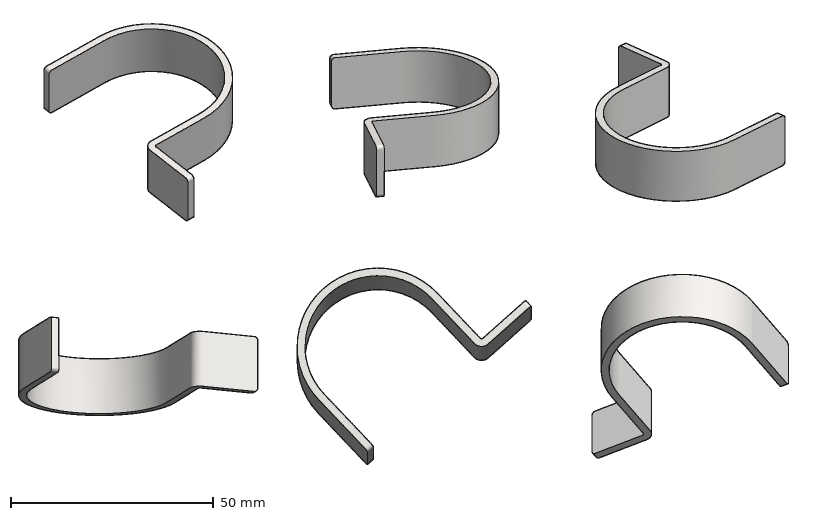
import cadquery as cq

total_length = 55.0
total_depth = 38.0
strap_width = 14.0
thickness = 2.0
arch_outer_radius = 20.0
bend_inner_radius = 0.5
corner_radius = 1.0

arch_inner_radius = arch_outer_radius - thickness
bend_outer_radius = bend_inner_radius + thickness
base_y = arch_outer_radius - total_depth
flange_back_y = base_y + thickness
flange_tip_x = total_length - arch_outer_radius
bend_x = arch_outer_radius + bend_inner_radius
bend_y = flange_back_y + bend_inner_radius


def make_strap():
    """Extrude the arch, its two legs and the bent flange."""
    return (
        cq.Workplane("XY")
        .moveTo(-arch_outer_radius, base_y)
        .lineTo(-arch_outer_radius, 0)
        .threePointArc((0, arch_outer_radius), (arch_outer_radius, 0))
        .lineTo(arch_outer_radius, bend_y)
        .radiusArc((bend_x, flange_back_y), -bend_inner_radius)
        .lineTo(flange_tip_x, flange_back_y)
        .lineTo(flange_tip_x, base_y)
        .lineTo(bend_x, base_y)
        .radiusArc((arch_inner_radius, bend_y), bend_outer_radius)
        .lineTo(arch_inner_radius, 0)
        .threePointArc((0, arch_inner_radius), (-arch_inner_radius, 0))
        .lineTo(-arch_inner_radius, base_y)
        .close()
        .extrude(strap_width)
    )


def round_strap_ends(strap):
    """Round the corners of the flange tip and of the free leg."""
    strap = strap.faces(">X").edges("|Y").fillet(corner_radius)
    return strap.edges("|X").edges("<X").fillet(corner_radius)


result = round_strap_ends(make_strap())